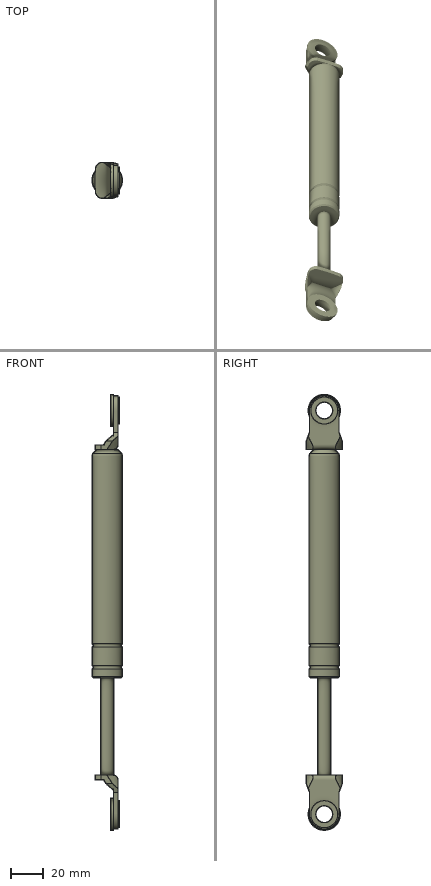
import cadquery as cq

length = 266.0
middle_z = length / 2

washer_radius = 9.8
washer_face_x = 2.0
boss_radius = 8.2
boss_end_x = 7.5
bore_radius = 5.0
eye_z = length - washer_radius

sheet = 3.0
plate_outer_x = 6.6
plate_inner_x = plate_outer_x - sheet
plate_half_width = 9.0
foot_bottom_z = 232.2
foot_top_z = foot_bottom_z + sheet
foot_half_width = 11.05
foot_end_x = -7.5
foot_corner_x = -7.2
foot_corner_y = 7.7
foot_corner_mid = (-5.9, 9.8)
foot_straight_x = -3.7
bend_radius = 3.2
taper_start_z = foot_top_z + 2.5
taper_end_z = foot_top_z + 7.7

facet_run = 1.3
facet_rise = 2.0
inner_facet_width = 4.65
outer_facet_width = 5.3

tube_radius = 9.3
tube_bottom_z = 93.0
tube_bottom_chamfer = 0.8
neck_radius = 6.6
shoulder_radius = 9.0
shoulder_z = 229.8
shoulder_base_z = 228.2
groove_heights = (112.8, 99.5)
groove_half_height = 1.0
groove_depth = 0.66

rod_radius = 4.0
rod_bottom_z = length - foot_bottom_z


def x_cylinder(radius, start_x, end_x):
    """Cylinder along X on the eye axis."""
    return (
        cq.Workplane("YZ", origin=(start_x, 0, eye_z))
        .circle(radius)
        .extrude(end_x - start_x)
    )


def make_washer():
    disc = x_cylinder(washer_radius, washer_face_x, plate_inner_x)
    bore = x_cylinder(bore_radius, washer_face_x, plate_inner_x)
    return disc.cut(bore)


def corner_wedge(corner_x, corner_z, width, side):
    """Tetrahedron in a bend corner, growing towards the bracket edge on one side (+1 or -1 in Y)."""
    edge_y = side * foot_half_width
    tip = cq.Vector(corner_x, side * (foot_half_width - width), corner_z)
    corner = cq.Vector(corner_x, edge_y, corner_z)
    foot_point = cq.Vector(corner_x - facet_run * width, edge_y, corner_z)
    plate_point = cq.Vector(corner_x, edge_y, corner_z + facet_rise * width)
    triangles = [
        (tip, corner, foot_point),
        (tip, corner, plate_point),
        (corner, foot_point, plate_point),
        (tip, foot_point, plate_point),
    ]
    faces = [cq.Face.makeFromWires(cq.Wire.makePolygon(points, close=True)) for points in triangles]
    return cq.Workplane(cq.Solid.makeSolid(cq.Shell.makeShell(faces)))


def foot_outline():
    """Vertical prism with the rounded foot end, as tall as the bracket."""
    mid_x, mid_y = foot_corner_mid
    return (
        cq.Workplane("XY", origin=(0, 0, foot_bottom_z))
        .moveTo(plate_outer_x, -foot_half_width)
        .lineTo(foot_straight_x, -foot_half_width)
        .threePointArc((mid_x, -mid_y), (foot_corner_x, -foot_corner_y))
        .threePointArc((foot_end_x, 0), (foot_corner_x, foot_corner_y))
        .threePointArc((mid_x, mid_y), (foot_straight_x, foot_half_width))
        .lineTo(plate_outer_x, foot_half_width)
        .close()
        .extrude(length - foot_bottom_z)
    )


def plate_outline():
    """Prism along X with the wide foot, tapered sides and round eye end."""
    return (
        cq.Workplane("YZ", origin=(foot_end_x, 0, 0))
        .moveTo(-foot_half_width, foot_bottom_z)
        .lineTo(-foot_half_width, taper_start_z)
        .lineTo(-plate_half_width, taper_end_z)
        .lineTo(-plate_half_width, eye_z)
        .threePointArc((0, eye_z + plate_half_width), (plate_half_width, eye_z))
        .lineTo(plate_half_width, taper_end_z)
        .lineTo(foot_half_width, taper_start_z)
        .lineTo(foot_half_width, foot_bottom_z)
        .close()
        .extrude(plate_outer_x - foot_end_x)
    )


def make_bracket():
    bent_sheet = (
        cq.Workplane("XZ")
        .moveTo(foot_end_x, foot_bottom_z)
        .lineTo(plate_outer_x, foot_bottom_z)
        .lineTo(plate_outer_x, length)
        .lineTo(plate_inner_x, length)
        .lineTo(plate_inner_x, foot_top_z)
        .lineTo(foot_end_x, foot_top_z)
        .close()
        .extrude(foot_half_width, both=True)
        .edges("|Y and >X and <Z")
        .fillet(bend_radius)
    )
    for side in (1, -1):
        bent_sheet = bent_sheet.union(corner_wedge(plate_inner_x, foot_top_z, inner_facet_width, side))
        bent_sheet = bent_sheet.cut(corner_wedge(plate_outer_x, foot_bottom_z, outer_facet_width, side))
    trimmed_sheet = bent_sheet.intersect(foot_outline()).intersect(plate_outline())
    boss = x_cylinder(boss_radius, plate_outer_x, boss_end_x)
    eye_hole = x_cylinder(bore_radius, plate_inner_x, boss_end_x)
    return trimmed_sheet.union(boss).cut(eye_hole)


def make_tube():
    profile = (
        cq.Workplane("XZ")
        .moveTo(0, foot_bottom_z)
        .lineTo(neck_radius, foot_bottom_z)
        .lineTo(shoulder_radius, shoulder_z)
        .lineTo(tube_radius, shoulder_base_z)
    )
    for groove_z in groove_heights:
        profile = (
            profile.lineTo(tube_radius, groove_z + groove_half_height)
            .threePointArc(
                (tube_radius - groove_depth, groove_z),
                (tube_radius, groove_z - groove_half_height),
            )
        )
    return (
        profile.lineTo(tube_radius, tube_bottom_z + tube_bottom_chamfer)
        .lineTo(tube_radius - tube_bottom_chamfer, tube_bottom_z)
        .lineTo(0, tube_bottom_z)
        .close()
        .revolve(360, (0, 0, 0), (0, 1, 0))
    )


def make_rod():
    return (
        cq.Workplane("XY", origin=(0, 0, rod_bottom_z))
        .circle(rod_radius)
        .extrude(tube_bottom_z - rod_bottom_z)
    )


tube = make_tube()
rod = make_rod()

brackets = []
washers = []
for is_lower in (False, True):
    bracket = make_bracket()
    washer = make_washer()
    if is_lower:
        bracket = bracket.mirror("XY", (0, 0, middle_z))
        washer = washer.mirror("XY", (0, 0, middle_z))
    brackets.append(bracket.val())
    washers.append(washer.val())

result = cq.Compound.makeCompound([tube.val(), rod.val(), *brackets, *washers])